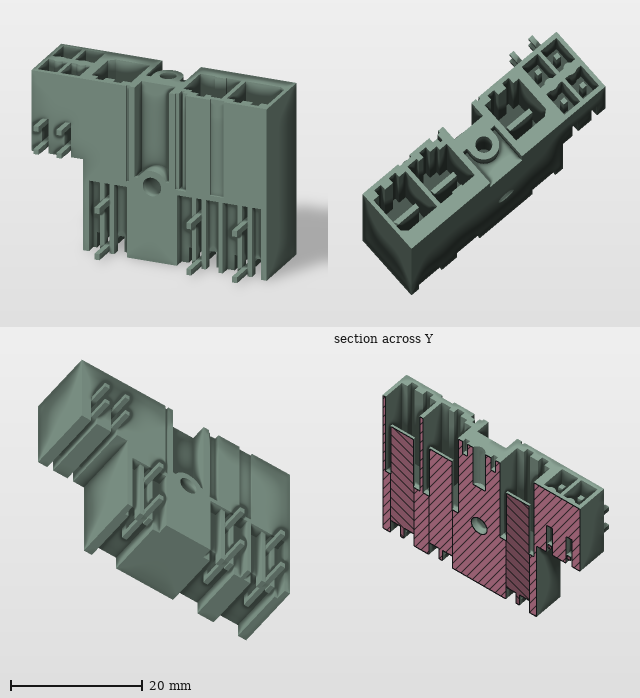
import cadquery as cq

LENGTH = 39.07
DEPTH = 11.4
HEIGHT = 28.3
STEP_X = 8.6
STEP_Z = 15.0
TAIL_REACH = 3.48
CUT_MARGIN = 0.4

SIGNAL_PIN_SIZE = 0.82
SIGNAL_PITCH = 3.8
SIGNAL_FIRST_X = 2.25
SIGNAL_XS = [SIGNAL_FIRST_X, SIGNAL_FIRST_X + SIGNAL_PITCH]
SIGNAL_PIN_TOP = 27.05
FRONT_PIN_Y = 2.75
REAR_PIN_Y = 8.75
FRONT_PIN_TAIL_Z = 20.28
REAR_PIN_TAIL_Z = FRONT_PIN_TAIL_Z - SIGNAL_PITCH
SIGNAL_SLOT_WIDTH = 1.1
SIGNAL_SLOT_TOP = FRONT_PIN_TAIL_Z + SIGNAL_PIN_SIZE / 2
SIGNAL_CAVITY_WIDTH = 3.2
SIGNAL_CAVITY_FLOOR = 21.5
FRONT_CAVITY_Y = (0.75, 5.1)
REAR_CAVITY_Y = (6.45, 10.65)
KEY_BUMP_WIDTH = 1.55
FRONT_KEY_BUMP = 0.4
REAR_KEY_BUMP = 0.25

LEFT_BLADE_X = 12.4
MIDDLE_BLADE_X = 27.62
RIGHT_BLADE_X = 35.25
BLADE_XS = [LEFT_BLADE_X, MIDDLE_BLADE_X, RIGHT_BLADE_X]
BLADE_WIDTH = 4.55
BLADE_THICKNESS = 0.82
BLADE_Y = 5.7
BLADE_TOP = 22.65
POWER_TAIL_WIDTH = 0.82
POWER_TAIL_HEIGHT = 0.98
LOWER_TAIL_Z = 0.35
TAIL_PITCH = 7.6

MATING_FLOOR = 12.5
CAVITY_BACK = 8.95
CAVITY_FRONT = 1.7
KEYWAY_FRONT = 0.75
MIDDLE_RIB_FACE = 8.67

POCKET_TOP = 11.65
POCKET_DEPTH = 1.85
POCKET_NARROW = 2.85
POCKET_WIDE = 3.48
RIB_INNER = 0.43
RIB_OUTER = 1.17
RIB_SETBACK = 0.4
WINDOW_WIDTH = 4.57
WINDOW_TOP = 2.55

MIDDLE_X = 20.0
SCREW_HOLE_Z = 12.3
SCREW_HOLE_RADIUS = 1.52
SCREW_BOSS_RADIUS = 2.6
FRONT_RECESS_WIDTH = 5.7
FRONT_RECESS_DEPTH = 2.7
FRONT_RECESS_FLOOR = 13.48
REAR_RECESS_WIDTH = 6.4
REAR_RECESS_FRONT = 5.0
REAR_RECESS_DROP = 2.58
POST_Y = 6.2
POST_RADIUS = 2.35
POST_HOLE_RADIUS = 1.3
POST_HOLE_DEPTH = 7.8

GROOVE_DEPTH = 0.4
LEFT_GROOVE_X = (15.7, 16.2)
RIGHT_GROOVE_X = (29.6, 31.92)
STEPPED_GROOVE = [
    (23.85, -CUT_MARGIN),
    (23.85, GROOVE_DEPTH),
    (24.3, GROOVE_DEPTH),
    (24.3, 1.6),
    (24.77, 1.6),
    (24.77, 0.85),
    (25.63, 0.85),
    (25.63, -CUT_MARGIN),
]


def block(x_range, y_range, z_range):
    """Box between the given limits."""
    size = [high - low for low, high in (x_range, y_range, z_range)]
    corner = (x_range[0], y_range[0], z_range[0])
    return cq.Workplane("XY").box(*size, centered=False).translate(corner)


def centred(middle, size):
    """Limits of a span with the given middle and size."""
    return (middle - size / 2, middle + size / 2)


def well(points, floor):
    """Cutter with the given XY outline, from the floor up through the top face."""
    outline = cq.Workplane("XY", origin=(0, 0, floor)).polyline(points).close()
    return outline.extrude(HEIGHT + CUT_MARGIN - floor)


def y_cylinder(x, z, radius, length):
    """Cylinder running back from the front face."""
    return cq.Workplane("XZ", origin=(x, 0, z)).circle(radius).extrude(-length)


def make_signal_pin(x, y, tail_z):
    """Square L-shaped pin: upright contact and a tail toward the front."""
    half = SIGNAL_PIN_SIZE / 2
    x_range = centred(x, SIGNAL_PIN_SIZE)
    upright = block(x_range, (y - half, y + half), (tail_z - half, SIGNAL_PIN_TOP))
    tail = block(x_range, (-TAIL_REACH, y + half), (tail_z - half, tail_z + half))
    return upright.union(tail)


def make_power_blade(x):
    """Flat blade with a narrow stem below it and two tails toward the front."""
    y_range = centred(BLADE_Y, BLADE_THICKNESS)
    tail_x = centred(x, POWER_TAIL_WIDTH)
    blade = block(centred(x, BLADE_WIDTH), y_range, (WINDOW_TOP, BLADE_TOP))
    blade = blade.union(block(tail_x, y_range, (LOWER_TAIL_Z, BLADE_TOP)))
    for bottom in (LOWER_TAIL_Z, LOWER_TAIL_Z + TAIL_PITCH):
        tail_z = (bottom, bottom + POWER_TAIL_HEIGHT)
        blade = blade.union(block(tail_x, (-TAIL_REACH, BLADE_Y), tail_z))
    return blade


def signal_cavity(x, keyed_y, plain_y, bump):
    """Rectangular well with a rounded key standing in from one wall.

    A positive bump points toward +Y, a negative one toward -Y.
    """
    half = SIGNAL_CAVITY_WIDTH / 2
    key = KEY_BUMP_WIDTH / 2
    outline = (
        cq.Workplane("XY", origin=(0, 0, SIGNAL_CAVITY_FLOOR))
        .moveTo(x - half, plain_y)
        .lineTo(x - half, keyed_y)
        .lineTo(x - key, keyed_y)
        .threePointArc((x, keyed_y + bump), (x + key, keyed_y))
        .lineTo(x + half, keyed_y)
        .lineTo(x + half, plain_y)
        .close()
    )
    return outline.extrude(HEIGHT + CUT_MARGIN - SIGNAL_CAVITY_FLOOR)


def end_power_cavity(blade_x, outward):
    """Well with one chamfered corner and two keyways; outward is the X sign of the chamfer."""
    profile = [
        (3.2, 1.85),
        (3.2, 8.15),
        (2.25, CAVITY_BACK),
        (-3.48, CAVITY_BACK),
        (-3.48, 1.6),
        (-2.15, 1.6),
        (-2.15, KEYWAY_FRONT),
        (-0.82, KEYWAY_FRONT),
        (-0.82, CAVITY_FRONT),
        (0.8, CAVITY_FRONT),
        (0.8, KEYWAY_FRONT),
        (2.1, KEYWAY_FRONT),
        (2.1, 1.85),
    ]
    return well([(blade_x + outward * dx, y) for dx, y in profile], MATING_FLOOR)


def middle_power_cavity(blade_x):
    """Well with one keyway, stepped front corners and a shallow rib on the back wall."""
    profile = [
        (-3.45, 2.42),
        (-3.45, CAVITY_BACK),
        (-0.95, CAVITY_BACK),
        (-0.95, MIDDLE_RIB_FACE),
        (0.95, MIDDLE_RIB_FACE),
        (0.95, CAVITY_BACK),
        (3.45, CAVITY_BACK),
        (3.45, 1.2),
        (1.6, 1.2),
        (1.6, CAVITY_FRONT),
        (0.65, CAVITY_FRONT),
        (0.65, KEYWAY_FRONT),
        (-0.65, KEYWAY_FRONT),
        (-0.65, CAVITY_FRONT),
        (-2.0, CAVITY_FRONT),
        (-2.0, 2.42),
    ]
    return well([(blade_x + dx, y) for dx, y in profile], MATING_FLOOR)


def tail_pocket(blade_x, left, right):
    """Front pocket with two upright ribs.

    A slot between the ribs runs back to the blade, and a low window goes through to the back.
    """
    pocket = block(
        (blade_x - left, blade_x + right), (-CUT_MARGIN, POCKET_DEPTH), (-CUT_MARGIN, POCKET_TOP)
    )
    window = block(
        centred(blade_x, WINDOW_WIDTH), (0, DEPTH + CUT_MARGIN), (-CUT_MARGIN, WINDOW_TOP)
    )
    tail_slot = block(
        centred(blade_x, 2 * RIB_INNER), (0, BLADE_Y - BLADE_THICKNESS / 2), (0, POCKET_TOP)
    )
    cutter = pocket.union(window).union(tail_slot)
    rib_offset = (RIB_INNER + RIB_OUTER) / 2
    for rib_middle in (blade_x - rib_offset, blade_x + rib_offset):
        rib_x = centred(rib_middle, RIB_OUTER - RIB_INNER)
        cutter = cutter.cut(block(rib_x, (RIB_SETBACK, POCKET_DEPTH), (-CUT_MARGIN, POCKET_TOP)))
    return cutter


def front_groove(x_range):
    """Shallow upright groove in the front face."""
    return block(x_range, (-CUT_MARGIN, GROOVE_DEPTH), (MATING_FLOOR, HEIGHT + CUT_MARGIN))


def front_recess():
    """Deep recess in the front face, with the screw boss standing up from its floor."""
    recess = block(
        centred(MIDDLE_X, FRONT_RECESS_WIDTH),
        (-CUT_MARGIN, FRONT_RECESS_DEPTH),
        (FRONT_RECESS_FLOOR, HEIGHT + CUT_MARGIN),
    )
    return recess.cut(y_cylinder(MIDDLE_X, SCREW_HOLE_Z, SCREW_BOSS_RADIUS, FRONT_RECESS_DEPTH))


def rear_recess():
    """Recess in the top, open at the back, around a round-ended post."""
    z_range = (HEIGHT - REAR_RECESS_DROP, HEIGHT + CUT_MARGIN)
    y_range = (REAR_RECESS_FRONT, DEPTH + CUT_MARGIN)
    recess = block(centred(MIDDLE_X, REAR_RECESS_WIDTH), y_range, z_range)
    post = block(centred(MIDDLE_X, 2 * POST_RADIUS), (REAR_RECESS_FRONT, POST_Y), z_range)
    post_end = (
        cq.Workplane("XY", origin=(MIDDLE_X, POST_Y, z_range[0]))
        .circle(POST_RADIUS)
        .extrude(z_range[1] - z_range[0])
    )
    return recess.cut(post).cut(post_end)


def post_hole():
    """Blind hole down the middle of the post."""
    floor = cq.Workplane("XY", origin=(MIDDLE_X, POST_Y, HEIGHT - POST_HOLE_DEPTH))
    return floor.circle(POST_HOLE_RADIUS).extrude(POST_HOLE_DEPTH)


def make_housing(inserts):
    """Moulded housing with a matching seat for each insert."""
    body = block((0, LENGTH), (0, DEPTH), (0, HEIGHT))
    body = body.cut(block((0, STEP_X), (0, DEPTH), (0, STEP_Z)))

    for x in SIGNAL_XS:
        body = body.cut(signal_cavity(x, FRONT_CAVITY_Y[1], FRONT_CAVITY_Y[0], -FRONT_KEY_BUMP))
        body = body.cut(signal_cavity(x, REAR_CAVITY_Y[0], REAR_CAVITY_Y[1], REAR_KEY_BUMP))
        body = body.cut(block(centred(x, SIGNAL_SLOT_WIDTH), (0, DEPTH), (STEP_Z, SIGNAL_SLOT_TOP)))

    body = body.cut(end_power_cavity(LEFT_BLADE_X, -1))
    body = body.cut(middle_power_cavity(MIDDLE_BLADE_X))
    body = body.cut(end_power_cavity(RIGHT_BLADE_X, 1))

    body = body.cut(tail_pocket(LEFT_BLADE_X, POCKET_NARROW, POCKET_WIDE))
    body = body.cut(tail_pocket(MIDDLE_BLADE_X, POCKET_WIDE, POCKET_WIDE))
    body = body.cut(tail_pocket(RIGHT_BLADE_X, POCKET_WIDE, POCKET_NARROW))

    body = body.cut(front_groove(LEFT_GROOVE_X))
    body = body.cut(front_groove(RIGHT_GROOVE_X))
    body = body.cut(well(STEPPED_GROOVE, MATING_FLOOR))

    body = body.cut(front_recess())
    body = body.cut(rear_recess())
    body = body.cut(post_hole())
    body = body.cut(y_cylinder(MIDDLE_X, SCREW_HOLE_Z, SCREW_HOLE_RADIUS, DEPTH))

    for insert in inserts:
        body = body.cut(insert)
    return body


signal_pins = []
for pin_x in SIGNAL_XS:
    signal_pins.append(make_signal_pin(pin_x, FRONT_PIN_Y, FRONT_PIN_TAIL_Z))
    signal_pins.append(make_signal_pin(pin_x, REAR_PIN_Y, REAR_PIN_TAIL_Z))

power_blades = [make_power_blade(blade_x) for blade_x in BLADE_XS]

housing = make_housing(signal_pins + power_blades)

result = cq.Compound.makeCompound(
    [
        housing.val(),
        *[pin.val() for pin in signal_pins],
        *[blade.val() for blade in power_blades],
    ]
)